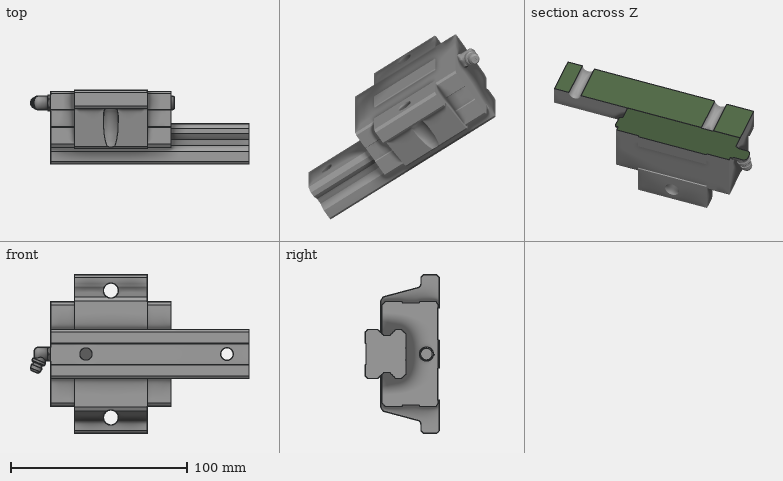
import cadquery as cq
import math

assembly_height = 42.0

rail_length = 112.5
rail_width = 28.0
rail_height = 23.0
rail_base_chamfer = 1.5
rail_foot_height = 7.1
rail_waist_width = 21.2
rail_waist_bottom = 10.5
rail_waist_top = 14.0
rail_head_bottom = 17.4
rail_head_side_top = 20.3
rail_crown_width = 23.0
relief_width = 12.4
relief_depth = 0.4
rail_hole_diameter = 7.0
rail_hole_first = 20.0
rail_hole_pitch = 80.0

block_length = 41.4
block_width = 90.0
block_depth = 33.3
flange_thickness = 10.5
flange_chamfer = 1.5
skirt_top_z = 38.15
skirt_angle = 15.0
skirt_fillet = 2.0
skirt_chamfer_y = 1.4
skirt_chamfer_z = 2.3
recess_depth = 0.75
recess_outer_z = 26.2
recess_inner_z = 8.1
recess_slope = 0.3
mount_hole_diameter = 8.38
mount_hole_pitch = 72.0

cap_length = 13.45
cap_width = 59.4
cap_depth = 31.75
cap_top_chamfer_y = 1.1
cap_top_chamfer_z = 1.6
cap_bottom_chamfer = 1.8
cap_groove_top = 10.3
cap_groove_bottom = 20.4
cap_groove_depth = 0.75
cap_groove_slope = 0.4

nipple_axis_depth = 7.3
nipple_hex_flats = 8.0
nipple_hex_length = 1.75
nipple_hex_chamfer_angle = 30.0
elbow_diameter = 7.85
elbow_length = 9.45
elbow_end_fillet = 2.5
spout_origin = -4.95
spout_tilt = 22.5
stem_diameter = 7.0
collar_start = 4.05
collar_end = 5.4
collar_chamfer = 0.55
neck_diameter = 5.5
head_start = 7.6
head_diameter = 6.6
head_middle_diameter = 6.0
head_middle_length = 2.15
tip_diameter = 4.3
spout_length = 11.0
spout_bore_diameter = 1.5
spout_bore_depth = 1.0
plug_diameter = 8.0
plug_length = 1.9
plug_end_diameter = 6.6
plug_bulge = 0.2

block_start = cap_length
block_end = block_start + block_length
carriage_end = block_end + cap_length
nipple_y = assembly_height - nipple_axis_depth


def mirrored(upper_half):
    """Closed outline from its +Z half, listed as (y, z) points from one end to the other."""
    lower_half = [(y, -z) for y, z in reversed(upper_half)]
    return upper_half + lower_half


def prism_along_x(outline, start, length):
    """Extrude a closed (y, z) outline along +X."""
    return cq.Workplane("YZ", origin=(start, 0, 0)).polyline(outline).close().extrude(length)


def rods_along_y(diameter, centres):
    """Rods along Y through the whole guide, at (x, z) centres."""
    rods = cq.Workplane("XZ").pushPoints(centres).circle(diameter / 2)
    return rods.extrude(-assembly_height)


def rail_blank():
    half = rail_width / 2
    return prism_along_x(
        mirrored([
            (relief_depth, relief_width / 2 - relief_depth),
            (0, relief_width / 2),
            (0, half - rail_base_chamfer),
            (rail_base_chamfer, half),
            (rail_foot_height, half),
            (rail_waist_bottom, rail_waist_width / 2),
            (rail_waist_top, rail_waist_width / 2),
            (rail_head_bottom, half),
            (rail_head_side_top, half),
            (rail_height, rail_crown_width / 2),
        ]),
        0,
        rail_length,
    )


def make_rail():
    hole_centres = [(rail_hole_first + i * rail_hole_pitch, 0) for i in range(2)]
    return rail_blank().cut(rods_along_y(rail_hole_diameter, hole_centres))


def make_block():
    """Flanged block with sloping skirts, relieved on top between three lands."""
    half = block_width / 2
    top = assembly_height
    recess_floor = top - recess_depth
    flange_bottom = top - flange_thickness
    bottom = top - block_depth
    slope_end_y = bottom + skirt_chamfer_y
    slope_end_z = skirt_top_z - (flange_bottom - slope_end_y) * math.tan(math.radians(skirt_angle))
    block = prism_along_x(
        mirrored([
            (top, recess_inner_z - recess_slope),
            (recess_floor, recess_inner_z),
            (recess_floor, recess_outer_z),
            (top, recess_outer_z),
            (top, half - flange_chamfer),
            (top - flange_chamfer, half),
            (flange_bottom + flange_chamfer, half),
            (flange_bottom, half - flange_chamfer),
            (flange_bottom, skirt_top_z),
            (slope_end_y, slope_end_z),
            (bottom, slope_end_z - skirt_chamfer_z),
        ]),
        block_start,
        block_length,
    )
    for z in (skirt_top_z, -skirt_top_z):
        corner = cq.selectors.NearestToPointSelector((block_start + block_length / 2, flange_bottom, z))
        block = block.edges(corner).fillet(skirt_fillet)
    middle = block_start + block_length / 2
    hole_centres = [(middle, side * mount_hole_pitch / 2) for side in (-1, 1)]
    return block.cut(rods_along_y(mount_hole_diameter, hole_centres))


def make_end_cap(start):
    half = cap_width / 2
    top = assembly_height - recess_depth
    bottom = top - cap_depth
    return prism_along_x(
        mirrored([
            (top, half - cap_top_chamfer_z),
            (top - cap_top_chamfer_y, half),
            (top - cap_groove_top, half),
            (top - cap_groove_top - cap_groove_slope, half - cap_groove_depth),
            (top - cap_groove_bottom + cap_groove_slope, half - cap_groove_depth),
            (top - cap_groove_bottom, half),
            (bottom + cap_bottom_chamfer, half),
            (bottom, half - cap_bottom_chamfer),
        ]),
        start,
        cap_length,
    )


def make_nipple_hex():
    """Hexagon with corners along Y, its outer corners turned off by a cone."""
    corner_radius = nipple_hex_flats / math.sqrt(3)
    flat_radius = nipple_hex_flats / 2
    chamfer_length = (corner_radius - flat_radius) * math.tan(math.radians(nipple_hex_chamfer_angle))
    plane = cq.Workplane("YZ", origin=(0, nipple_y, 0))
    hexagon = plane.polygon(6, 2 * corner_radius).extrude(-nipple_hex_length)
    turned = (
        cq.Workplane("XY")
        .polyline([
            (0, 0),
            (0, corner_radius),
            (chamfer_length - nipple_hex_length, corner_radius),
            (-nipple_hex_length, flat_radius),
            (-nipple_hex_length, 0),
        ])
        .close()
        .revolve(360, (0, 0, 0), (1, 0, 0))
        .translate((0, nipple_y, 0))
    )
    return hexagon.intersect(turned)


def make_spout():
    """Turned spout, built pointing along -Z from the elbow centre and then tilted towards -X."""
    head_middle = head_start + head_middle_length
    profile = [
        (0, 0),
        (stem_diameter / 2, 0),
        (stem_diameter / 2, -collar_start),
        (elbow_diameter / 2, -collar_start),
        (elbow_diameter / 2, -collar_end),
        (elbow_diameter / 2 - collar_chamfer, -collar_end - collar_chamfer),
        (neck_diameter / 2, -collar_end - collar_chamfer),
        (neck_diameter / 2, -head_start),
        (head_diameter / 2, -head_start),
        (head_middle_diameter / 2, -head_middle),
        (tip_diameter / 2, -spout_length),
        (spout_bore_diameter / 2, -spout_length),
        (spout_bore_diameter / 2, -spout_length + spout_bore_depth),
        (0, -spout_length + spout_bore_depth),
    ]
    spout = cq.Workplane("XZ").polyline(profile).close().revolve(360, (0, 0, 0), (0, 1, 0))
    return spout.rotate((0, 0, 0), (0, 1, 0), spout_tilt).translate((spout_origin, nipple_y, 0))


def make_nipple():
    plane = cq.Workplane("YZ", origin=(0, nipple_y, 0))
    elbow = plane.circle(elbow_diameter / 2).extrude(-elbow_length)
    elbow = elbow.faces("<X").edges().fillet(elbow_end_fillet)
    return elbow.union(make_nipple_hex()).union(make_spout())


def make_plug():
    """Domed plug on the far end cap."""
    radius = plug_diameter / 2
    end_radius = plug_end_diameter / 2
    dome_middle = (plug_length / 2, (radius + end_radius) / 2 + plug_bulge)
    return (
        cq.Workplane("XY")
        .lineTo(0, radius)
        .threePointArc(dome_middle, (plug_length, end_radius))
        .lineTo(plug_length, 0)
        .close()
        .revolve(360, (0, 0, 0), (1, 0, 0))
        .translate((carriage_end, nipple_y, 0))
    )


def make_carriage():
    carriage = make_block()
    for cap_start in (0, block_end):
        carriage = carriage.union(make_end_cap(cap_start))
    carriage = carriage.cut(rail_blank())
    return carriage.union(make_nipple()).union(make_plug())


rail = make_rail()
carriage = make_carriage()

result = cq.Compound.makeCompound([rail.val(), *carriage.vals()])